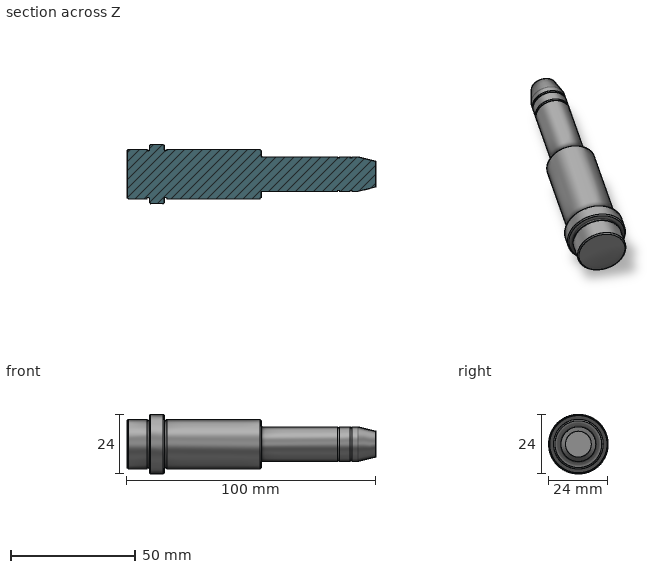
import cadquery as cq

total_length = 100.0

body_diameter = 20.0
flange_diameter = 24.0
flange_start = 9.0
flange_end = 15.0
body_end = 54.0
head_chamfer = 0.5
flange_chamfer = 0.5
body_chamfer = 0.6

relief_radius = 0.5

shaft_diameter = 14.0
tip_diameter = 10.4
tip_length = 7.2
root_fillet = 0.3

ring_groove_radius = 0.4
first_ring_groove = 85.0
ring_groove_pitch = 5.1
ring_groove_count = 2


def cylinder(start, end, diameter):
    """Solid cylinder around the X axis between two X positions."""
    return cq.Workplane("YZ").workplane(offset=start).circle(diameter / 2).extrude(end - start)


def round_groove(center, diameter, radius):
    """Ring of round section, centred on the surface of a cylinder, to be cut from it."""
    section = cq.Workplane("XY").center(center, diameter / 2).circle(radius)
    return section.revolve(360, (0, -diameter / 2, 0), (1, -diameter / 2, 0))


core = cylinder(0, body_end, body_diameter)
core = core.faces("<X").chamfer(head_chamfer)
core = core.faces(">X").chamfer(body_chamfer)

for groove_center in (flange_start - relief_radius, flange_end + relief_radius):
    core = core.cut(round_groove(groove_center, body_diameter, relief_radius))

flange = cylinder(flange_start, flange_end, flange_diameter)
flange = flange.faces("<X or >X").chamfer(flange_chamfer)

shaft_radius = shaft_diameter / 2
shaft = (
    cq.Workplane("XY")
    .moveTo(body_end, 0)
    .lineTo(body_end, shaft_radius + root_fillet)
    .radiusArc((body_end + root_fillet, shaft_radius), -root_fillet)
    .lineTo(total_length - tip_length, shaft_radius)
    .lineTo(total_length, tip_diameter / 2)
    .lineTo(total_length, 0)
    .close()
    .revolve(360, (0, 0, 0), (1, 0, 0))
)
for index in range(ring_groove_count):
    groove_center = first_ring_groove + index * ring_groove_pitch
    shaft = shaft.cut(round_groove(groove_center, shaft_diameter, ring_groove_radius))

result = core.union(flange).union(shaft)